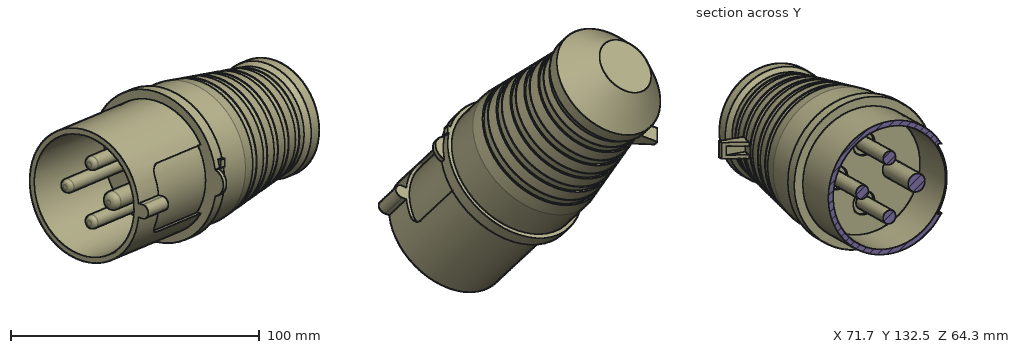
import cadquery as cq
import math

LENGTH = 132.5
HALF_WIDTH = 71.7 / 2

FLANGE_FRONT = 44.8
FLANGE_BACK = 50.1
FLANGE_RADIUS = 64.3 / 2
LUG_RADIUS = 6.0
LUG_THICKNESS = 2.0
TAB_THICKNESS = 2.5
TAB_BOTTOM = 5.5
TAB_TOP = 9.1
TAB_REACH = 32.2
TAB_ROOT = 29.2

SHROUD_RADIUS = 56.5 / 2
BORE_RADIUS = 51.5 / 2
KEY_LENGTH = 12.9
KEY_RADIUS = 6.0 / 2
KEY_REACH = 33.1
KEY_ROOT = (BORE_RADIUS + SHROUD_RADIUS) / 2
RELIEF_RADIUS = 26.6
RELIEF_HALF_WIDTH = 14.7
RELIEF_CORNER = 4.1
RELIEF_START = 19.9

PIN_CIRCLE = 25.0
PIN_OFFSET = PIN_CIRCLE / 2
PIN_RADIUS = 6.0 / 2
PIN_TIP = 3.2
EARTH_PIN_RADIUS = 8.0 / 2
EARTH_PIN_TIP = 0.0
TIP_FLAT_RADIUS = 1.0
RECESS_RADIUS = 10.0 / 2
RECESS_DEPTH = 1.3

BARREL_RADIUS = 60.5 / 2
BARREL_BACK = 65.7
NECK_RADIUS = 23.3
NECK_Y = 112.1
COLLAR_RADIUS = 49.5 / 2
COLLAR_FRONT = 114.9
COLLAR_BACK = 120.0
NOSE_RADIUS = COLLAR_RADIUS - (LENGTH - COLLAR_BACK)
GROOVE_COUNT = 5
GROOVE_SPAN = 33.7
GROOVE_PITCH = GROOVE_SPAN / (GROOVE_COUNT - 1)
GROOVE_WIDTH = 3.2
GROOVE_DEPTH = 0.3
FIRST_GROOVE_BACK = 108.5

HOOK_BACK = 100.5
HOOK_TIP_THICKNESS = 2.3
HOOK_HALF_HEIGHT = 3.5
HOOK_SLOPE = 0.55
HOOK_ROOT = -22.5
HOOK_POCKET_BACK = HOOK_BACK - 3.2
HOOK_POCKET_HALF_HEIGHT = 1.9


def cylinder_y(radius, start, end, x=0.0, z=0.0):
    """Cylinder along Y from start to end."""
    base = cq.Vector(x, start, z)
    return cq.Workplane(cq.Solid.makeCylinder(radius, end - start, base, cq.Vector(0, 1, 0)))


def box_between(x_range, y_range, z_range):
    """Box given by its limits along each axis."""
    sizes = [high - low for low, high in (x_range, y_range, z_range)]
    corner = (x_range[0], y_range[0], z_range[0])
    return cq.Workplane("XY").box(*sizes, centered=False).translate(corner)


def make_pin(radius, tip, x, z):
    """Pin rooted in the flange, with a rounded tip that leaves a small flat."""
    pin = cylinder_y(radius, tip, FLANGE_BACK, x, z)
    return pin.faces("<Y").edges().fillet(radius - TIP_FLAT_RADIUS)


def make_key():
    """Round-nosed polarising key at the mouth."""
    nose_x = KEY_REACH - KEY_RADIUS
    straight = box_between((KEY_ROOT, nose_x), (0, KEY_LENGTH), (-KEY_RADIUS, KEY_RADIUS))
    return straight.union(cylinder_y(KEY_RADIUS, 0, KEY_LENGTH, nose_x))


def make_relief():
    """Cutter for the thinned outer wall between the key and the flange."""
    block = box_between(
        (RELIEF_START, FLANGE_RADIUS),
        (KEY_LENGTH, FLANGE_FRONT),
        (-RELIEF_HALF_WIDTH, RELIEF_HALF_WIDTH),
    )
    block = block.edges("|X and <Y").fillet(RELIEF_CORNER)
    return block.cut(cylinder_y(RELIEF_RADIUS, 0, FLANGE_BACK))


def make_socket():
    """Shroud, flange, key and contact pins."""
    shroud = cylinder_y(SHROUD_RADIUS, 0, FLANGE_FRONT).cut(make_relief())
    shroud = shroud.cut(cylinder_y(BORE_RADIUS, 0, FLANGE_FRONT))
    flange = cylinder_y(FLANGE_RADIUS, FLANGE_FRONT, FLANGE_BACK)
    lug = cylinder_y(LUG_RADIUS, FLANGE_FRONT, FLANGE_FRONT + LUG_THICKNESS, HALF_WIDTH - LUG_RADIUS)
    tab_front = FLANGE_BACK - TAB_THICKNESS
    tab = box_between((TAB_ROOT, TAB_REACH), (tab_front, FLANGE_BACK), (TAB_BOTTOM, TAB_TOP))
    socket = flange.union(shroud).union(make_key()).union(lug).union(tab)

    for angle in (90, 180, 270):
        x = PIN_OFFSET * math.cos(math.radians(angle))
        z = PIN_OFFSET * math.sin(math.radians(angle))
        recess = cylinder_y(RECESS_RADIUS, FLANGE_FRONT, FLANGE_FRONT + RECESS_DEPTH, x, z)
        socket = socket.cut(recess).union(make_pin(PIN_RADIUS, PIN_TIP, x, z))
    return socket.union(make_pin(EARTH_PIN_RADIUS, EARTH_PIN_TIP, PIN_OFFSET, 0))


def taper_radius(y):
    """Radius of the grip taper between the neck and the barrel."""
    return NECK_RADIUS + (BARREL_RADIUS - NECK_RADIUS) * (NECK_Y - y) / (NECK_Y - BARREL_BACK)


def make_hook():
    """Hook with a sloped front face and a triangular pocket let into it."""
    tip_front = HOOK_BACK - HOOK_TIP_THICKNESS
    root_front = tip_front - HOOK_SLOPE * (HOOK_ROOT + HALF_WIDTH)
    pocket_tip = (tip_front - HOOK_POCKET_BACK) / HOOK_SLOPE - HALF_WIDTH
    outline = [
        (-HALF_WIDTH, HOOK_BACK),
        (-HALF_WIDTH, tip_front),
        (HOOK_ROOT, root_front),
        (HOOK_ROOT, HOOK_BACK),
    ]
    pocket_outline = [(pocket_tip, HOOK_POCKET_BACK), (HOOK_ROOT, root_front), (HOOK_ROOT, HOOK_POCKET_BACK)]
    hook = cq.Workplane("XY").polyline(outline).close().extrude(HOOK_HALF_HEIGHT, both=True)
    pocket = cq.Workplane("XY").polyline(pocket_outline).close().extrude(HOOK_POCKET_HALF_HEIGHT, both=True)
    return hook.cut(pocket)


def make_handle():
    """Tapered grip with shallow grooves, a collar, a conical nose and the hook."""
    profile = [
        (0, FLANGE_BACK),
        (BARREL_RADIUS, FLANGE_BACK),
        (BARREL_RADIUS, BARREL_BACK),
        (NECK_RADIUS, NECK_Y),
        (COLLAR_RADIUS, COLLAR_FRONT),
        (COLLAR_RADIUS, COLLAR_BACK),
        (NOSE_RADIUS, LENGTH),
        (0, LENGTH),
    ]
    handle = cq.Workplane("XY").polyline(profile).close().revolve(360, (0, 0, 0), (0, 1, 0))
    for i in range(GROOVE_COUNT):
        back = FIRST_GROOVE_BACK - i * GROOVE_PITCH
        front = back - GROOVE_WIDTH
        floor = cylinder_y(taper_radius(back) - GROOVE_DEPTH, front, back)
        handle = handle.cut(cylinder_y(FLANGE_RADIUS, front, back).cut(floor))
    return handle.union(make_hook())


socket = make_socket()
handle = make_handle()

result = cq.Compound.makeCompound([socket.val(), handle.val()])